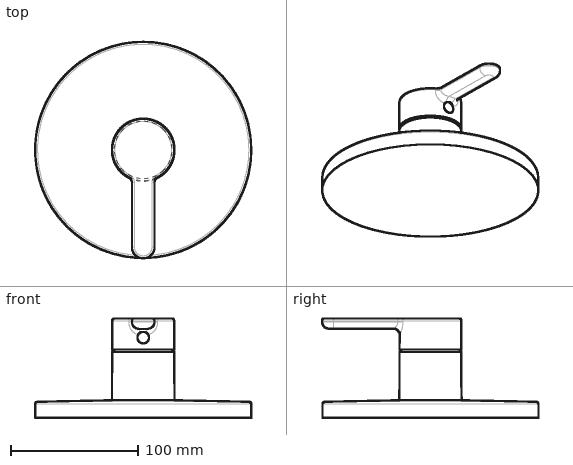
import cadquery as cq

TOTAL_HEIGHT = 78.29
PLATE_RADIUS = 85.0
PLATE_EDGE_HEIGHT = 12.7
PLATE_CENTRE_HEIGHT = 14.5
PLATE_EDGE_ROUND = 2.0

COLUMN_BASE_RADIUS = 24.8
COLUMN_TOP_RADIUS = 24.4
COLUMN_CHAMFER = 1.8

HEAD_RADIUS = 24.4
HEAD_BOTTOM = 53.7
TOP_ROUND = 2.0

LEVER_REACH = 85.25
LEVER_WIDTH = 17.8
LEVER_THICKNESS = 8.29
LEVER_UNDERSIDE_ROUND = 5.5
LEVER_ROOT_FILLET = 4.5

MARK_DIAMETER = 9.1
MARK_HEIGHT = 63.1
MARK_DEPTH = 0.2


def make_plate():
    """Disc with a shallow conical top and a rounded rim."""
    profile = (
        cq.Workplane("XZ")
        .lineTo(PLATE_RADIUS, 0)
        .lineTo(PLATE_RADIUS, PLATE_EDGE_HEIGHT)
        .lineTo(0, PLATE_CENTRE_HEIGHT)
        .close()
    )
    disc = profile.revolve(360, (0, 0, 0), (0, 1, 0))
    rim = cq.selectors.BoxSelector(
        (-PLATE_RADIUS, -PLATE_RADIUS, PLATE_EDGE_HEIGHT / 2),
        (PLATE_RADIUS, PLATE_RADIUS, PLATE_CENTRE_HEIGHT),
        boundingbox=False,
    )
    return disc.edges("%CIRCLE").edges(rim).fillet(PLATE_EDGE_ROUND)


def make_column():
    """Slightly tapered column; its top chamfer leaves a V groove under the head."""
    profile = (
        cq.Workplane("XZ")
        .lineTo(COLUMN_BASE_RADIUS, 0)
        .lineTo(COLUMN_TOP_RADIUS, HEAD_BOTTOM - COLUMN_CHAMFER)
        .lineTo(COLUMN_TOP_RADIUS - COLUMN_CHAMFER, HEAD_BOTTOM)
        .lineTo(0, HEAD_BOTTOM)
        .close()
    )
    return profile.revolve(360, (0, 0, 0), (0, 1, 0))


def make_lever():
    """Flat bar from the head axis to a round tip, with a rounded underside."""
    half_width = LEVER_WIDTH / 2
    tip_start = LEVER_REACH - half_width
    bar = (
        cq.Workplane("XY", origin=(0, 0, TOTAL_HEIGHT - LEVER_THICKNESS))
        .moveTo(half_width, 0)
        .lineTo(half_width, -tip_start)
        .threePointArc((0, -LEVER_REACH), (-half_width, -tip_start))
        .lineTo(-half_width, 0)
        .close()
        .extrude(LEVER_THICKNESS)
    )
    underside_edges = bar.faces("<Z").edges("not >Y")
    return underside_edges.fillet(LEVER_UNDERSIDE_ROUND)


def make_handle():
    """Head and lever, blended at the lever root and rounded along the top outline."""
    head = (
        cq.Workplane("XY", origin=(0, 0, HEAD_BOTTOM))
        .circle(HEAD_RADIUS)
        .extrude(TOTAL_HEIGHT - HEAD_BOTTOM)
    )
    handle = head.union(make_lever())
    half_width = LEVER_WIDTH / 2
    lever_bottom = TOTAL_HEIGHT - LEVER_THICKNESS
    margin = 1.0
    root = cq.selectors.BoxSelector(
        (-half_width - margin, -HEAD_RADIUS - margin, lever_bottom - margin),
        (half_width + margin, -HEAD_RADIUS / 2, TOTAL_HEIGHT - margin),
        boundingbox=False,
    )
    handle = handle.edges(root).fillet(LEVER_ROOT_FILLET)
    return handle.faces(">Z").edges().fillet(TOP_ROUND)


def make_index_mark():
    """Cutter for the shallow round recess; its floor follows the head's curve."""
    drill = (
        cq.Workplane("XZ", origin=(0, 0, MARK_HEIGHT))
        .circle(MARK_DIAMETER / 2)
        .extrude(HEAD_RADIUS + LEVER_ROOT_FILLET)
    )
    floor = (
        cq.Workplane("XY", origin=(0, 0, HEAD_BOTTOM))
        .circle(HEAD_RADIUS - MARK_DEPTH)
        .extrude(TOTAL_HEIGHT - HEAD_BOTTOM)
    )
    return drill.cut(floor)


handle = make_handle().cut(make_index_mark())
result = make_plate().union(make_column()).union(handle)